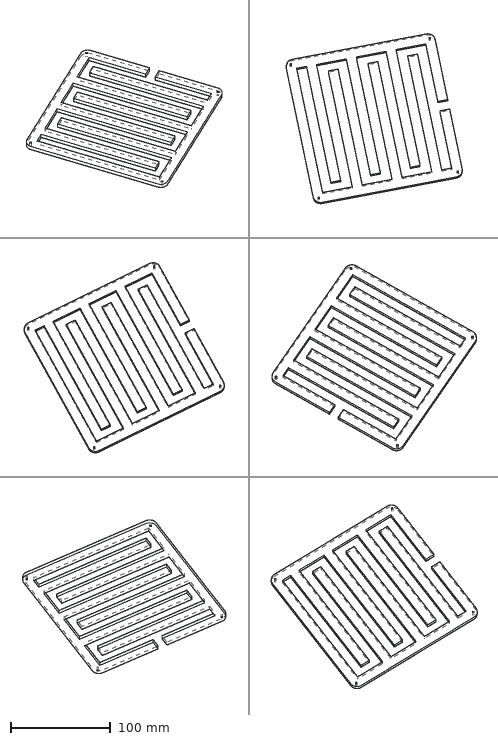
import cadquery as cq

BAR = 10.16
STRIP_COUNT = 15
LENGTH_X = 153.66
THICKNESS = 4.45
CORNER_RADIUS = 7.62
FINGER_END_GAP = 8.89
RAIL_GAP_OFFSET = 0.254
HOLE_DIAMETER = 1.78

LENGTH_Y = STRIP_COUNT * BAR
INNER_X = LENGTH_X - 2 * BAR
INNER_Y = LENGTH_Y - 2 * BAR
FINGER_PITCH = 2 * BAR
FINGER_COUNT = (STRIP_COUNT - 3) // 2
FINGER_LENGTH = INNER_X - FINGER_END_GAP
HOLE_INSET = BAR / 2


def make_frame():
    """Rounded rectangular frame with a rectangular window."""
    plate = cq.Workplane("XY").box(LENGTH_X, LENGTH_Y, THICKNESS)
    plate = plate.edges("|Z").fillet(CORNER_RADIUS)
    window = cq.Workplane("XY").box(INNER_X, INNER_Y, THICKNESS)
    return plate.cut(window)


def make_finger(index):
    """Finger number index, counted from -Y; fingers alternate between the two side rails."""
    side = -1 if index % 2 == 0 else 1
    length = FINGER_LENGTH + BAR
    x_center = side * (LENGTH_X - length) / 2
    y_center = (index - (FINGER_COUNT - 1) / 2) * FINGER_PITCH
    return cq.Workplane("XY").box(length, BAR, THICKNESS).translate((x_center, y_center, 0))


def make_rail_gap():
    """Opening that splits the +Y rail near its middle."""
    y_center = (LENGTH_Y - BAR) / 2
    return cq.Workplane("XY").box(BAR, BAR, THICKNESS).translate((RAIL_GAP_OFFSET, y_center, 0))


def make_corner_holes():
    """Through holes, one near each corner of the frame."""
    spacing_x = LENGTH_X - 2 * HOLE_INSET
    spacing_y = LENGTH_Y - 2 * HOLE_INSET
    return (
        cq.Workplane("XY")
        .rect(spacing_x, spacing_y, forConstruction=True)
        .vertices()
        .circle(HOLE_DIAMETER / 2)
        .extrude(THICKNESS / 2, both=True)
    )


result = make_frame()
for finger_index in range(FINGER_COUNT):
    result = result.union(make_finger(finger_index))
result = result.cut(make_rail_gap()).cut(make_corner_holes()).clean()